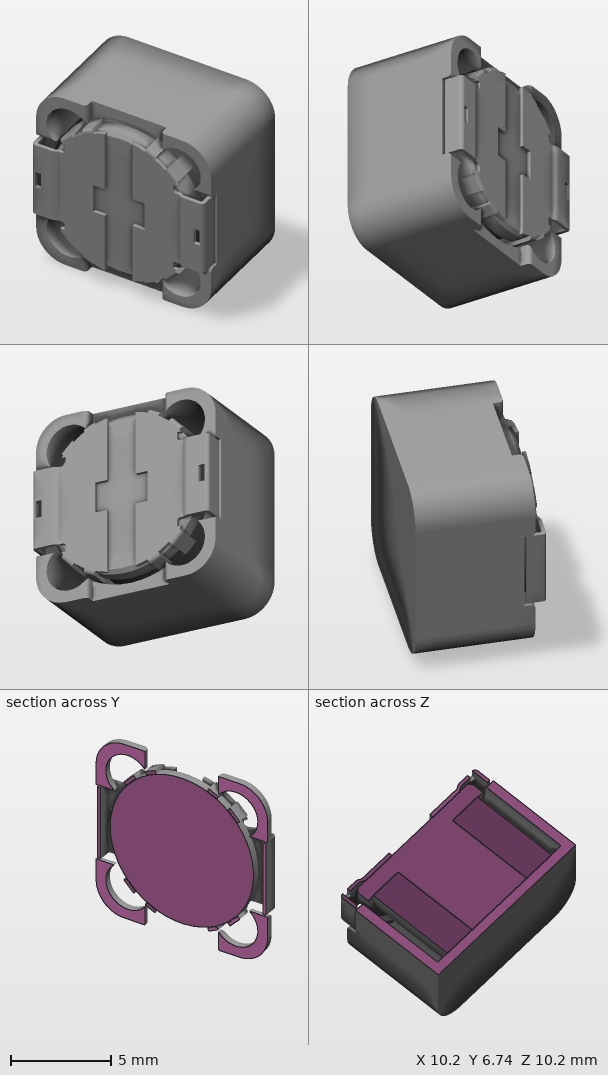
import cadquery as cq
import math


SIDE = 10.23
HALF_SIDE = SIDE / 2
HOUSING_DEPTH = 6.14
CORNER_RADIUS = 1.7
BORE_RADIUS = 4.57
CAP_THICKNESS = HALF_SIDE - BORE_RADIUS
CAVITY_DEPTH = HOUSING_DEPTH - CAP_THICKNESS
POCKET_OFFSET = 3.21
POCKET_RADIUS = 1.3
POCKET_FLOOR_RADIUS = 1.26
NOTCH_HALF_WIDTH = 2.18
NOTCH_DEPTH = 0.55
NOTCH_MOUTH_RADIUS = 0.23

SHEET = 0.2
SEAT_Y = -0.6
FOOT_STEP = 0.13
PLATE_OUTER_Y = SEAT_Y + FOOT_STEP
PLATE_INNER_Y = PLATE_OUTER_Y + SHEET
PLATE_RADIUS = 4.28
STEP_INNER_X = -3.51
STEP_OUTER_X = -3.76
LEG_OUTER_X = -5.02
LEG_TOP_Y = 0.42
FOOT_HALF_WIDTH = 2.12
STEP_BEND_RADIUS = 0.38
FOOT_OUTER_RADIUS = 0.2
FOOT_INNER_RADIUS = 0.09
WINDOW_LENGTH = 0.35
WINDOW_WIDTH = 0.9
SLOT_HALF_WIDTH = 0.82
SLOT_CROSS_HALF_LENGTH = 1.5
RELIEF_INNER_X = -3.17
RELIEF_OUTER_X = -PLATE_RADIUS
RELIEF_WIDTH = 0.46
RELIEF_RADIUS = 0.16
TAB_TOP_Y = 1.02
TAB_BEND_RADIUS = 0.19
TAB_ROOT_LENGTH = 0.31
TABS = ((45.0, 0.85), (65.0, 0.65))

FLANGE_RADIUS = PLATE_RADIUS
FLANGE_BACK_Y = 0.63
FLANGE_CHAMFER = 0.2
NECK_RADIUS = 2.05
WINDING_RADIUS = 3.89
LOBE_OFFSET = 1.74
LOBE_RADIUS = 2.79
LOBE_ANGLE = 65.0
LOBE_CHAMFER = 0.18


def facing_front(y):
    """Workplane at height y with local axes X and Z, extruding toward -Y."""
    return cq.Workplane("XZ", origin=(0, y, 0))


def notch_cutter():
    """Edge notch with rounded mouth edges, cut through the +Z wall."""
    r = NOTCH_MOUTH_RADIUS
    w = NOTCH_HALF_WIDTH
    bulge = r * (1 - math.sqrt(0.5))
    profile = (
        cq.Workplane("XY")
        .moveTo(-w - r, 0)
        .threePointArc((-w - bulge, bulge), (-w, r))
        .lineTo(-w, NOTCH_DEPTH)
        .lineTo(w, NOTCH_DEPTH)
        .lineTo(w, r)
        .threePointArc((w + bulge, bulge), (w + r, 0))
        .close()
    )
    return profile.extrude(HALF_SIDE)


def corner_pocket():
    """Slightly tapered round pocket in the -X, +Z corner."""
    return (
        cq.Workplane("XZ", origin=(-POCKET_OFFSET, 0, POCKET_OFFSET))
        .circle(POCKET_RADIUS)
        .workplane(offset=-CAVITY_DEPTH)
        .circle(POCKET_FLOOR_RADIUS)
        .loft(ruled=True)
    )


def make_housing():
    """Square shield, closed at the back, with a round bore, corner pockets and edge notches."""
    body = facing_front(HOUSING_DEPTH).rect(SIDE, SIDE).extrude(HOUSING_DEPTH)
    body = body.edges("|Y").fillet(CORNER_RADIUS)
    body = body.cut(facing_front(CAVITY_DEPTH).circle(BORE_RADIUS).extrude(CAVITY_DEPTH))
    for quarter in range(4):
        for cutter in (notch_cutter(), corner_pocket()):
            body = body.cut(cutter.rotate((0, 0, 0), (0, 1, 0), 90 * quarter))
    return body


def make_core():
    """Drum core: a chamfered flange on a neck that stands on the cavity floor."""
    flange = (
        facing_front(FLANGE_BACK_Y)
        .circle(FLANGE_RADIUS)
        .extrude(FLANGE_BACK_Y - PLATE_INNER_Y)
        .faces("<Y")
        .chamfer(FLANGE_CHAMFER)
    )
    neck = facing_front(CAVITY_DEPTH).circle(NECK_RADIUS).extrude(CAVITY_DEPTH - FLANGE_BACK_Y)
    return flange.union(neck)


def make_winding(terminal):
    """Winding around the neck, bulging past the flange in its -X, +Z quarter, recessed for the tabs."""
    length = CAVITY_DEPTH - FLANGE_BACK_Y
    lobe = (
        facing_front(CAVITY_DEPTH)
        .center(-LOBE_OFFSET, 0)
        .circle(LOBE_RADIUS)
        .extrude(length)
        .faces("<Y")
        .chamfer(LOBE_CHAMFER)
        .rotate((0, 0, 0), (0, 1, 0), LOBE_ANGLE)
    )
    coil = facing_front(CAVITY_DEPTH).circle(WINDING_RADIUS).extrude(length).union(lobe)
    bore = facing_front(CAVITY_DEPTH).circle(NECK_RADIUS).extrude(length)
    return coil.cut(bore).cut(terminal)


def terminal_plate():
    """Round plate half on the core face, bounded by the central cross slot and the foot step."""
    thickness = PLATE_INNER_Y - PLATE_OUTER_Y
    plate = facing_front(PLATE_INNER_Y).circle(PLATE_RADIUS).extrude(thickness)
    span = 2 * PLATE_RADIUS
    kept_width = -SLOT_HALF_WIDTH - STEP_INNER_X
    kept_center = -(SLOT_HALF_WIDTH - STEP_INNER_X) / 2
    kept = facing_front(PLATE_INNER_Y).center(kept_center, 0).rect(kept_width, span).extrude(thickness)
    cross = (
        facing_front(PLATE_INNER_Y)
        .rect(2 * SLOT_CROSS_HALF_LENGTH, 2 * SLOT_HALF_WIDTH)
        .extrude(thickness)
    )
    return plate.intersect(kept).cut(cross)


def terminal_tab(angle, width):
    """Tab bent back along the flange, pointing toward -X turned by angle."""
    outer = PLATE_RADIUS + SHEET
    root = PLATE_RADIUS - TAB_ROOT_LENGTH
    tab = (
        cq.Workplane("XY")
        .moveTo(-root, PLATE_OUTER_Y)
        .lineTo(-outer, PLATE_OUTER_Y)
        .lineTo(-outer, TAB_TOP_Y)
        .lineTo(-PLATE_RADIUS, TAB_TOP_Y)
        .lineTo(-PLATE_RADIUS, PLATE_INNER_Y)
        .lineTo(-root, PLATE_INNER_Y)
        .close()
        .extrude(width / 2, both=True)
        .edges("|Z and <X and <Y")
        .fillet(TAB_BEND_RADIUS)
    )
    return tab.rotate((0, 0, 0), (0, 1, 0), angle)


def terminal_foot():
    """Stepped foot with an upright leg, and a window beside the leg bend."""
    leg_inner_x = LEG_OUTER_X + SHEET
    foot_inner_y = SEAT_Y + SHEET
    foot = (
        cq.Workplane("XY")
        .moveTo(STEP_INNER_X, PLATE_OUTER_Y)
        .lineTo(STEP_OUTER_X, SEAT_Y)
        .lineTo(LEG_OUTER_X, SEAT_Y)
        .lineTo(LEG_OUTER_X, LEG_TOP_Y)
        .lineTo(leg_inner_x, LEG_TOP_Y)
        .lineTo(leg_inner_x, foot_inner_y)
        .lineTo(STEP_OUTER_X, foot_inner_y)
        .lineTo(STEP_INNER_X, PLATE_INNER_Y)
        .close()
        .extrude(FOOT_HALF_WIDTH, both=True)
    )
    outer_bend = cq.selectors.NearestToPointSelector((LEG_OUTER_X, SEAT_Y, 0))
    inner_bend = cq.selectors.NearestToPointSelector((leg_inner_x, foot_inner_y, 0))
    step_bend = cq.selectors.NearestToPointSelector((STEP_OUTER_X, SEAT_Y, 0))
    foot = foot.edges(step_bend).fillet(STEP_BEND_RADIUS)
    foot = foot.edges(outer_bend).fillet(FOOT_OUTER_RADIUS)
    foot = foot.edges(inner_bend).fillet(FOOT_INNER_RADIUS)
    window = (
        facing_front(foot_inner_y + FOOT_INNER_RADIUS)
        .center(leg_inner_x + WINDOW_LENGTH / 2, 0)
        .rect(WINDOW_LENGTH, WINDOW_WIDTH)
        .extrude(SHEET + FOOT_INNER_RADIUS)
    )
    return foot.cut(window)


def relief_cutter(side):
    """Rounded notch in the plate next to the foot, at Z of the given sign."""
    center_x = (RELIEF_INNER_X + RELIEF_OUTER_X) / 2
    center_z = side * (FOOT_HALF_WIDTH + RELIEF_WIDTH / 2)
    return (
        facing_front(PLATE_INNER_Y)
        .center(center_x, center_z)
        .rect(RELIEF_INNER_X - RELIEF_OUTER_X, RELIEF_WIDTH)
        .extrude(SHEET)
        .edges("|Y and >X")
        .edges(">Z" if side < 0 else "<Z")
        .fillet(RELIEF_RADIUS)
    )


def make_terminal():
    """Terminal on the -X side: plate half, bent tabs, foot and leg in one sheet."""
    terminal = terminal_plate()
    for side in (-1, 1):
        for angle, width in TABS:
            terminal = terminal.union(terminal_tab(side * angle, width))
        terminal = terminal.cut(relief_cutter(side))
    return terminal.union(terminal_foot())


housing = make_housing()
core = make_core()
terminals = [make_terminal().rotate((0, 0, 0), (0, 1, 0), turn) for turn in (0, 180)]
winding = make_winding(terminals[0])

result = cq.Compound.makeCompound(
    [housing.val(), core.val(), winding.val(), *[terminal.val() for terminal in terminals]]
)